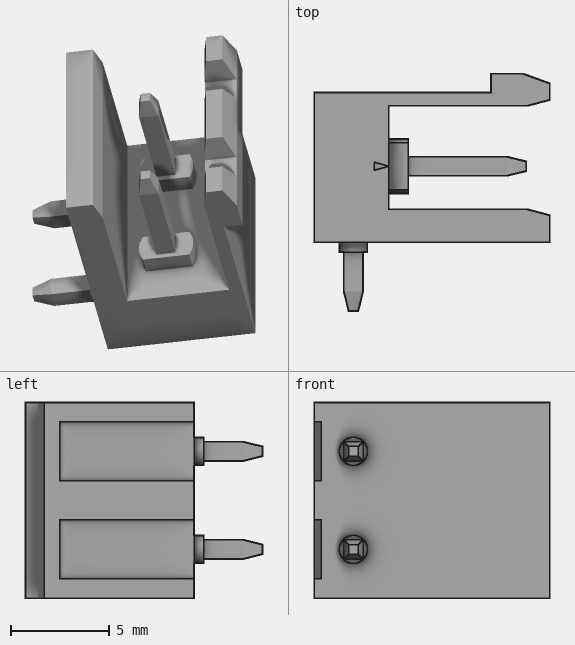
import cadquery as cq
import math

HOUSING_LENGTH = 12.0
HOUSING_WIDTH = 7.65
HOUSING_HEIGHT = 10.0
BACK_THICKNESS = 3.8
THICK_WALL = 1.7
THIN_WALL = 0.69
LEAD_IN_LENGTH = 1.15
LEAD_IN_DROP = 0.3

RIDGE_LENGTH = 3.0
RIDGE_HEIGHT = 0.95
RIDGE_TAPER_LENGTH = 1.35
RIDGE_TAPER_DROP = 0.5

CONTACT_PITCH = 5.0
CONTACT_HEIGHTS = (-CONTACT_PITCH / 2, CONTACT_PITCH / 2)

NOTCH_DEPTH = 1.32
NOTCH_MOUTH = 1.9
NOTCH_BASE = 1.2

POCKET_DEPTH = 0.35
POCKET_HEIGHT = 3.0
POCKET_MARGIN = 0.8

PIN_WIDTH = 0.99
POINT_LENGTH = 1.0
POINT_WIDTH = PIN_WIDTH / 2

MATING_PIN_Y = 3.88
MATING_PIN_LENGTH = 7.0
COLLAR_DIAMETER = 2.81
COLLAR_FLAT_WIDTH = 2.4
COLLAR_HEIGHT = math.sqrt(COLLAR_DIAMETER**2 - COLLAR_FLAT_WIDTH**2)
COLLAR_LENGTH = 1.0

BOARD_PIN_X = 2.0
BOARD_PIN_LENGTH = 3.5
BOSS_DIAMETER = 1.43
BOSS_LENGTH = 0.5

ARROW_LENGTH = 0.75
ARROW_WIDTH = 0.42
ARROW_DEPTH = 0.1


def make_housing():
    cavity_top = HOUSING_WIDTH - THIN_WALL
    ridge_top = HOUSING_WIDTH + RIDGE_HEIGHT
    ridge_start = HOUSING_LENGTH - RIDGE_LENGTH
    lead_in_start = HOUSING_LENGTH - LEAD_IN_LENGTH
    outline = [
        (0, 0),
        (HOUSING_LENGTH, 0),
        (HOUSING_LENGTH, THICK_WALL - LEAD_IN_DROP),
        (lead_in_start, THICK_WALL),
        (BACK_THICKNESS, THICK_WALL),
        (BACK_THICKNESS, cavity_top),
        (lead_in_start, cavity_top),
        (HOUSING_LENGTH, cavity_top + LEAD_IN_DROP),
        (HOUSING_LENGTH, ridge_top - RIDGE_TAPER_DROP),
        (HOUSING_LENGTH - RIDGE_TAPER_LENGTH, ridge_top),
        (ridge_start, ridge_top),
        (ridge_start, HOUSING_WIDTH),
        (0, HOUSING_WIDTH),
    ]
    return cq.Workplane("XY").polyline(outline).close().extrude(HOUSING_HEIGHT / 2, both=True)


def make_notch(height):
    """Trapezoid cutter through the thin wall and its ridge, wider at the open end."""
    notch_end = HOUSING_LENGTH - NOTCH_DEPTH
    outline = [
        (HOUSING_LENGTH, height - NOTCH_MOUTH / 2),
        (HOUSING_LENGTH, height + NOTCH_MOUTH / 2),
        (notch_end, height + NOTCH_BASE / 2),
        (notch_end, height - NOTCH_BASE / 2),
    ]
    wall_and_ridge = THIN_WALL + RIDGE_HEIGHT
    plane = cq.Workplane("XZ", origin=(0, HOUSING_WIDTH + RIDGE_HEIGHT, 0))
    return plane.polyline(outline).close().extrude(wall_and_ridge)


def make_pocket(height):
    pocket_width = HOUSING_WIDTH - POCKET_MARGIN
    start = cq.Workplane("XY", origin=(0, 0, height))
    return start.box(POCKET_DEPTH, pocket_width, POCKET_HEIGHT, centered=(False, False, True))


def make_pin(plane, length):
    """Square pin growing from the plane's origin along its normal; the length includes the point."""
    shank_length = length - POINT_LENGTH
    shank = cq.Workplane(plane).rect(PIN_WIDTH, PIN_WIDTH).extrude(shank_length)
    point = (
        cq.Workplane(plane)
        .workplane(offset=shank_length)
        .rect(PIN_WIDTH, PIN_WIDTH)
        .workplane(offset=POINT_LENGTH)
        .rect(POINT_WIDTH, POINT_WIDTH)
        .loft(ruled=True)
    )
    return shank.union(point)


def make_mating_contact(height):
    plane = cq.Plane(origin=(BACK_THICKNESS, MATING_PIN_Y, height), xDir=(0, 1, 0), normal=(1, 0, 0))
    round_collar = cq.Workplane(plane).circle(COLLAR_DIAMETER / 2).extrude(COLLAR_LENGTH)
    between_flats = cq.Workplane(plane).rect(COLLAR_DIAMETER, COLLAR_HEIGHT).extrude(COLLAR_LENGTH)
    collar = round_collar.intersect(between_flats)
    return collar.union(make_pin(plane, MATING_PIN_LENGTH))


def make_board_contact(height):
    plane = cq.Plane(origin=(BOARD_PIN_X, 0, height), xDir=(1, 0, 0), normal=(0, -1, 0))
    boss = cq.Workplane(plane).circle(BOSS_DIAMETER / 2).extrude(BOSS_LENGTH)
    return boss.union(make_pin(plane, BOARD_PIN_LENGTH))


def make_arrow():
    tail_x = BACK_THICKNESS - ARROW_LENGTH
    outline = [
        (BACK_THICKNESS, MATING_PIN_Y),
        (tail_x, MATING_PIN_Y + ARROW_WIDTH / 2),
        (tail_x, MATING_PIN_Y - ARROW_WIDTH / 2),
    ]
    top_face = cq.Workplane("XY", origin=(0, 0, HOUSING_HEIGHT / 2))
    return top_face.polyline(outline).close().extrude(-ARROW_DEPTH)


result = make_housing().cut(make_arrow())
for contact_height in CONTACT_HEIGHTS:
    result = result.cut(make_notch(contact_height))
    result = result.cut(make_pocket(contact_height))
    result = result.union(make_mating_contact(contact_height))
    result = result.union(make_board_contact(contact_height))